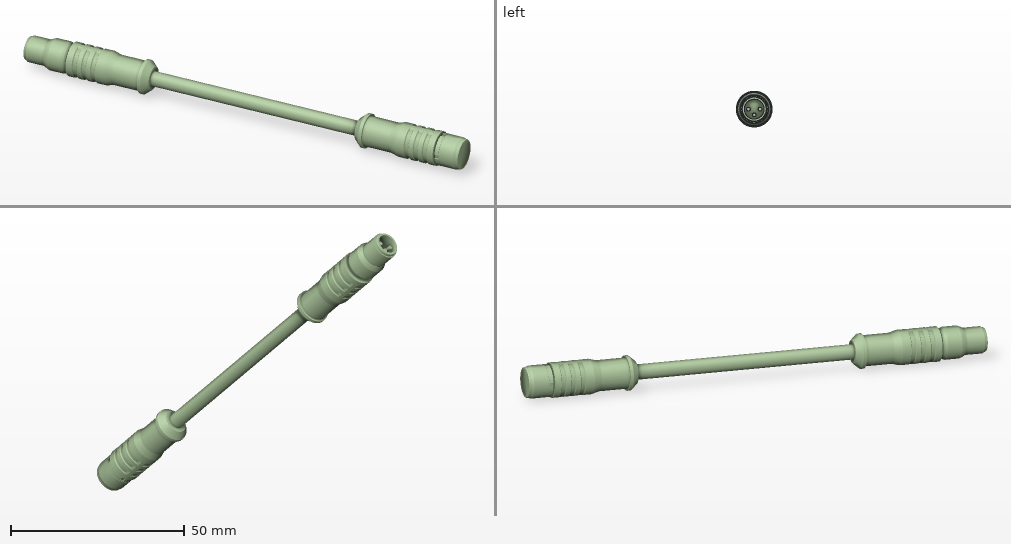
import cadquery as cq

total_length = 139.2
cable_d = 4.5

grip_d = 10.3
grip_length = 12.0
taper_length = 2.4
handle_d = 9.0
handle_length = 8.5
collar_length = 1.0
nose_length = 2.0
nose_d = 7.0

groove_count = 3
groove_d = 9.6
groove_width = 1.5
groove_floor_width = 1.1
groove_pitch = 2.9
first_groove = 2.0

rail_width = 1.1
rail_base_width = 3.0
rail_base_z = 4.5
rail_length = (groove_count - 1) * groove_pitch + groove_width

plug_grip_front = 14.2
receptacle_grip_front = 131.6
neck_d = 7.2
nut_d = 9.6
nut_shoulder_d = 9.0

barrel_d = 8.0
barrel_tip_d = 7.2
barrel_tip_length = 1.0
tip_edge_d = 7.0
tip_edge_length = 0.3
nut_front = 6.5
nut_end_d = 8.2
nut_front_shoulder = 7.4
nut_rim_start = 8.1
nut_rim_end = 12.4
nut_back_shoulder = 13.1
nut_back = 13.6

socket_d = 5.7
socket_depth = 5.6
pin_d = 1.07
pin_length = 4.7
pin_circle_r = 1.7
pin_angles = (0, 180, 270)

ring_start = 132.0
ring_end = 133.3
ring_groove_d = 9.3
ring_groove_width = 0.3
slot_count = 4
slot_width = 1.3
slot_depth = 0.4
face_chamfer_start = 137.9
face_chamfer_end = 138.5
face_edge_d = 8.8
face_edge_length = 0.3


def turned(stations):
    """Solid of revolution about X through (x, diameter) stations."""
    outline = [(x, diameter / 2) for x, diameter in stations]
    first_x = stations[0][0]
    last_x = stations[-1][0]
    profile = cq.Workplane("XY").polyline([(first_x, 0)] + outline + [(last_x, 0)]).close()
    return profile.revolve(360, (0, 0), (1, 0))


def cylinder(start, end, diameter):
    return cq.Workplane("YZ", origin=(start, 0, 0)).circle(diameter / 2).extrude(end - start)


def rotated(body, angle):
    """The body turned by an angle about the X axis."""
    return body.rotate((0, 0, 0), (1, 0, 0), angle)


def grip_stations():
    """Grip outline with its front face at X = 0, running toward +X."""
    stations = [(0, grip_d)]
    wall_run = (groove_width - groove_floor_width) / 2
    for i in range(groove_count):
        start = first_groove + i * groove_pitch
        end = start + groove_width
        stations += [
            (start, grip_d),
            (start + wall_run, groove_d),
            (end - wall_run, groove_d),
            (end, grip_d),
        ]
    taper_end = grip_length + taper_length
    collar_start = taper_end + handle_length
    collar_end = collar_start + collar_length
    stations += [
        (grip_length, grip_d),
        (taper_end, handle_d),
        (collar_start, handle_d),
        (collar_start, grip_d),
        (collar_end, grip_d),
        (collar_end + nose_length, nose_d),
    ]
    return stations


def grip():
    body = turned(grip_stations())
    section = [
        (-rail_base_width / 2, rail_base_z),
        (rail_base_width / 2, rail_base_z),
        (rail_width / 2, grip_d / 2),
        (-rail_width / 2, grip_d / 2),
    ]
    rail = cq.Workplane("YZ", origin=(first_groove, 0, 0)).polyline(section).close().extrude(rail_length)
    return body.union(rail).union(rotated(rail, 180))


def plug():
    body = turned([
        (0, tip_edge_d),
        (tip_edge_length, barrel_tip_d),
        (barrel_tip_length, barrel_tip_d),
        (barrel_tip_length, barrel_d),
        (nut_front, barrel_d),
        (nut_front, nut_end_d),
        (nut_front_shoulder, nut_shoulder_d),
        (nut_rim_start, nut_d),
        (nut_rim_end, nut_d),
        (nut_back_shoulder, nut_shoulder_d),
        (nut_back, nut_end_d),
        (nut_back, neck_d),
        (plug_grip_front, neck_d),
    ])
    body = body.cut(cylinder(0, socket_depth, socket_d))
    pin = cylinder(socket_depth - pin_length, socket_depth, pin_d).translate((0, pin_circle_r, 0))
    for angle in pin_angles:
        body = body.union(rotated(pin, angle))
    return body


def receptacle():
    ring_groove_end = ring_end + ring_groove_width
    body = turned([
        (receptacle_grip_front, neck_d),
        (ring_start, neck_d),
        (ring_start, nut_d),
        (ring_end, nut_d),
        (ring_end, ring_groove_d),
        (ring_groove_end, ring_groove_d),
        (ring_groove_end, nut_d),
        (face_chamfer_start, nut_d),
        (face_chamfer_end, nut_shoulder_d),
        (total_length - face_edge_length, nut_shoulder_d),
        (total_length, face_edge_d),
    ])
    slot_floor = cq.Workplane("XY", origin=((ring_start + ring_end) / 2, 0, nut_d / 2 - slot_depth))
    slot = slot_floor.rect(ring_end - ring_start, slot_width).extrude(slot_depth)
    for i in range(slot_count):
        body = body.cut(rotated(slot, i * 360 / slot_count))
    return body


plug_grip = grip().translate((plug_grip_front, 0, 0))
receptacle_grip = grip().mirror("YZ").translate((receptacle_grip_front, 0, 0))
cable = cylinder(plug_grip_front + grip_length, receptacle_grip_front - grip_length, cable_d)

result = plug().union(plug_grip).union(cable).union(receptacle_grip).union(receptacle())